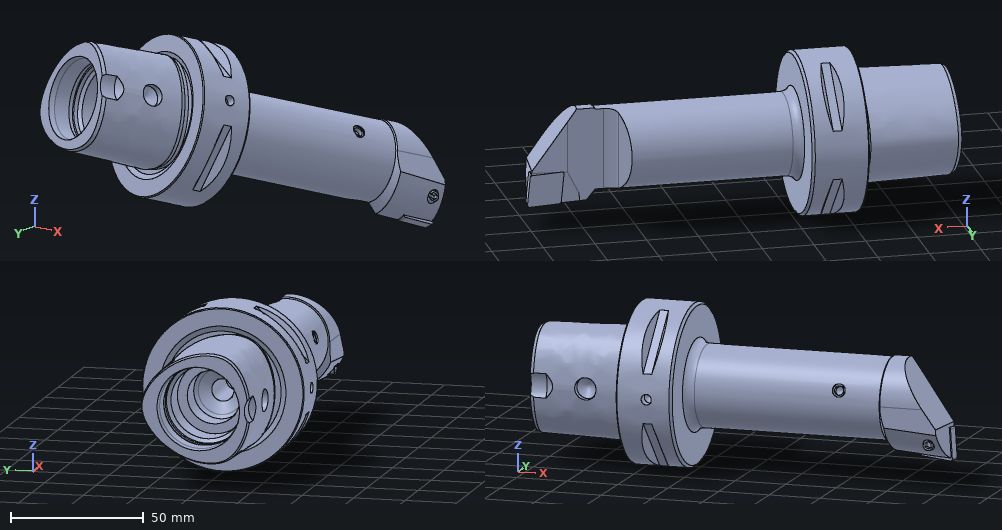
import cadquery as cq
import math


SHANK_LENGTH = 38.0
POLYGON_DIAMETER = 44.0
POLYGON_ECCENTRICITY = 1.3
POLYGON_TAPER = 1 / 20
POLYGON_POINTS = 48
GAUGE_X = -2.4
LEAD_IN_LENGTH = 1.5
LEAD_IN_DIAMETER_DROP = 1.2

NECK_START_X = -0.6
NECK_DIAMETER_DROP = 1.3
RECESS_OUTER_RADIUS = 24.5
RECESS_INNER_RADIUS = 22.4
RECESS_DEPTH = 1.0

MOUTH_RADIUS = 16.0
BORE_RADIUS = 14.1
MOUTH_CONE_LENGTH = 2.4
ENTRY_RADIUS = 15.6
BORE_GROOVE_RADIUS = 16.4
BORE_GROOVE_START = 9.0
BORE_GROOVE_WIDTH = 2.2
ENTRY_DEPTH = 13.0
ENTRY_CONE_LENGTH = 1.0
BORE_DEPTH = 24.0
INNER_BORE_RADIUS = 10.3
INNER_BORE_DEPTH = 34.0
CONE_RADIUS = 8.9
CONE_ANGLE = 120.0
COOLANT_RADIUS = 4.3
COOLANT_DEPTH = 60.0

KEYWAY_RADIUS = 7.5
KEYWAY_LENGTH = 6.4
KEYWAY_FLOOR_Y = -17.9
KEYWAY_RUNOUT_SLOPE = 0.75
DRIVE_HOLE_DIAMETER = 8.5
DRIVE_HOLE_X = -15.7
DRIVE_HOLE_FLOOR_Y = -17.6

FLANGE_RADIUS = 31.5
FLANGE_WIDTH = 22.0
FLANGE_FRONT_CHAMFER = 0.4
FLANGE_BACK_CHAMFER = 1.0
GRIP_X = 12.0
GRIP_FLOOR_RADIUS = 28.0
GRIP_FLOOR_WIDTH = 3.4
GRIP_WALL_ANGLE = 30.0
GRIP_COUNT = 4
MARK_HOLE_DIAMETER = 4.0
MARK_HOLE_DEPTH = 4.0
DRILL_POINT_ANGLE = 118.0

BAR_RADIUS = 16.0
BAR_FILLET = 5.0
BAR_FILLET_LENGTH = 4.0
BAR_END_X = 99.2
RELIEF_START_X = 88.2
RELIEF_ANGLE = 16.0
RELIEF_RADIUS = 5.0
TOP_FLAT_Y = 2.1
RAKE_START_X = 110.0

HEAD_RADIUS = 16.5
HEAD_BACK_SLOPE = 1.2
HEAD_FULL_RADIUS = 24.0
HEAD_END_X = 135.0
HEAD_ROUND = 19.7
HEAD_ROUND_START_ANGLE = 24.0
HEAD_FLAT_END_Z = -7.9
HEAD_OVERLAP = 3.0
HEAD_DROP_ANGLE = 4.4
SLOPE_X = 106.4
SLOPE_ANGLE = 35.6
SLOPE_RELIEF_ANGLE = 4.8
FLANK_RELIEF_ANGLE = 6.0
FLANK_SETBACK = 0.4

TIP = cq.Vector(125.04, 0, -22.05)
LEAD_ANGLE = 5.0
INSERT_EDGE = 12.9
INSERT_CORNER_ANGLE = 80.0
INSERT_CORNER_RADIUS = 0.8
INSERT_THICKNESS = 4.76
RAKE_TILT_X = -2.8
RAKE_TILT_Z = -5.4
RAKE_TRIM_SIZE = 40.0

CLAMP_X = 118.0
CLAMP_Z = -14.0
CLAMP_DIAMETER = 4.2
CLAMP_OUTER_Y = -14.2
CLAMP_LENGTH = 5.0
CLAMP_SOCKET = 2.5
CLAMP_SOCKET_DEPTH = 2.0
PLUG_X = 82.9
PLUG_Z = 5.0
PLUG_DIAMETER = 5.0
PLUG_LENGTH = 6.0
PLUG_RECESS = 0.6
PLUG_BORE_DIAMETER = 3.6
PLUG_BORE_DEPTH = 2.0

BIG = 100.0


def drill(radius, depth):
    """Drill shape along -Z from z = BIG down to a pointed floor at z = -depth."""
    point = radius / math.tan(math.radians(DRILL_POINT_ANGLE / 2))
    outline = [(0, BIG), (radius, BIG), (radius, -depth), (0, -depth - point)]
    return cq.Workplane("XZ").polyline(outline).close().revolve(360, (0, 0), (0, 1))


def revolve_about_x(outline):
    """Turned shape from closed (x, radius) points."""
    return cq.Workplane("XY").polyline(outline).close().revolve(360, (0, 0), (1, 0))


def aim_drill_at_minus_y(tool):
    """Turn a -Z drill so that it cuts toward +Y."""
    return tool.rotate((0, 0, 0), (1, 0, 0), 90)


def polygon_section(x, diameter):
    """Three-lobed section of constant width, with one lobe toward +Y."""
    points = []
    for index in range(POLYGON_POINTS):
        angle = 2 * math.pi * index / POLYGON_POINTS
        reach = diameter / 2 + POLYGON_ECCENTRICITY * math.cos(3 * angle)
        slide = -3 * POLYGON_ECCENTRICITY * math.sin(3 * angle)
        y = reach * math.cos(angle) - slide * math.sin(angle)
        z = reach * math.sin(angle) + slide * math.cos(angle)
        points.append(cq.Vector(x, y, z))
    return cq.Wire.assembleEdges([cq.Edge.makeSpline(points, periodic=True)])


def make_shank():
    """Tapered polygon with a lead-in at its end and a slightly smaller neck."""
    lead_x = -SHANK_LENGTH + LEAD_IN_LENGTH
    lead_diameter = POLYGON_DIAMETER + (lead_x - GAUGE_X) * POLYGON_TAPER
    neck_diameter = POLYGON_DIAMETER - NECK_DIAMETER_DROP
    sections = [
        polygon_section(-SHANK_LENGTH, lead_diameter - LEAD_IN_DIAMETER_DROP),
        polygon_section(lead_x, lead_diameter),
        polygon_section(GAUGE_X, POLYGON_DIAMETER),
        polygon_section(NECK_START_X, neck_diameter),
        polygon_section(RECESS_DEPTH, neck_diameter),
    ]
    shank = cq.Workplane(cq.Solid.makeLoft(sections[:2], True))
    for start, end in zip(sections[1:], sections[2:]):
        shank = shank.union(cq.Workplane(cq.Solid.makeLoft([start, end], True)))
    return shank


def make_flange_and_bar():
    """Turned flange, recessed around the shank, and the plain bar behind it."""
    fillet_end_x = FLANGE_WIDTH + BAR_FILLET_LENGTH
    fillet_center_r = BAR_RADIUS + BAR_FILLET
    fillet_top_r = fillet_center_r - math.sqrt(BAR_FILLET**2 - BAR_FILLET_LENGTH**2)
    half_turn = math.asin(BAR_FILLET_LENGTH / BAR_FILLET) / 2
    fillet_mid = (
        fillet_end_x - BAR_FILLET * math.sin(half_turn),
        fillet_center_r - BAR_FILLET * math.cos(half_turn),
    )
    return (
        cq.Workplane("XY")
        .moveTo(RECESS_DEPTH, 0)
        .lineTo(RECESS_DEPTH, RECESS_INNER_RADIUS)
        .lineTo(0, RECESS_OUTER_RADIUS)
        .lineTo(0, FLANGE_RADIUS - FLANGE_FRONT_CHAMFER)
        .lineTo(FLANGE_FRONT_CHAMFER, FLANGE_RADIUS)
        .lineTo(FLANGE_WIDTH - FLANGE_BACK_CHAMFER, FLANGE_RADIUS)
        .lineTo(FLANGE_WIDTH, FLANGE_RADIUS - FLANGE_BACK_CHAMFER)
        .lineTo(FLANGE_WIDTH, fillet_top_r)
        .threePointArc(fillet_mid, (fillet_end_x, BAR_RADIUS))
        .lineTo(BAR_END_X, BAR_RADIUS)
        .lineTo(BAR_END_X, 0)
        .close()
        .revolve(360, (0, 0), (1, 0))
    )


def make_shank_bore():
    """Stepped bore with a clamping groove, ending in a pointed coolant hole."""
    def depth(value):
        return value - SHANK_LENGTH

    groove_end = BORE_GROOVE_START + BORE_GROOVE_WIDTH
    inner_end = INNER_BORE_DEPTH + INNER_BORE_RADIUS - CONE_RADIUS
    cone_slope = math.tan(math.radians(CONE_ANGLE / 2))
    cone_end = inner_end + (CONE_RADIUS - COOLANT_RADIUS) / cone_slope
    apex = COOLANT_DEPTH + COOLANT_RADIUS / cone_slope
    return revolve_about_x([
        (depth(0), 0),
        (depth(0), MOUTH_RADIUS),
        (depth(MOUTH_CONE_LENGTH), ENTRY_RADIUS),
        (depth(BORE_GROOVE_START), ENTRY_RADIUS),
        (depth(BORE_GROOVE_START), BORE_GROOVE_RADIUS),
        (depth(groove_end), BORE_GROOVE_RADIUS),
        (depth(groove_end), ENTRY_RADIUS),
        (depth(ENTRY_DEPTH), ENTRY_RADIUS),
        (depth(ENTRY_DEPTH + ENTRY_CONE_LENGTH), BORE_RADIUS),
        (depth(BORE_DEPTH), BORE_RADIUS),
        (depth(BORE_DEPTH), INNER_BORE_RADIUS),
        (depth(INNER_BORE_DEPTH), INNER_BORE_RADIUS),
        (depth(inner_end), CONE_RADIUS),
        (depth(cone_end), COOLANT_RADIUS),
        (depth(COOLANT_DEPTH), COOLANT_RADIUS),
        (depth(apex), 0),
    ])


def make_keyway():
    """Round keyway on the -Y side of the shank end, running out in a cone."""
    straight_end = -SHANK_LENGTH + KEYWAY_LENGTH
    apex = straight_end + KEYWAY_RADIUS / KEYWAY_RUNOUT_SLOPE
    outline = [
        (-SHANK_LENGTH, 0),
        (-SHANK_LENGTH, KEYWAY_RADIUS),
        (straight_end, KEYWAY_RADIUS),
        (apex, 0),
    ]
    return revolve_about_x(outline).translate((0, KEYWAY_FLOOR_Y - KEYWAY_RADIUS, 0))


def make_grip_slots():
    """Straight slots with sloping walls across the flange rim."""
    height = FLANGE_RADIUS - GRIP_FLOOR_RADIUS
    floor_half = GRIP_FLOOR_WIDTH / 2
    top_half = floor_half + height * math.tan(math.radians(GRIP_WALL_ANGLE))
    slot = (
        cq.Workplane("XZ")
        .polyline([
            (GRIP_X - floor_half, GRIP_FLOOR_RADIUS),
            (GRIP_X + floor_half, GRIP_FLOOR_RADIUS),
            (GRIP_X + top_half, FLANGE_RADIUS),
            (GRIP_X - top_half, FLANGE_RADIUS),
        ])
        .close()
        .extrude(FLANGE_RADIUS, both=True)
    )
    slots = []
    for index in range(GRIP_COUNT):
        angle = 360 / GRIP_COUNT * (index + 0.5)
        slots.append(slot.rotate((0, 0, 0), (1, 0, 0), angle))
    return slots


def make_drilled_holes():
    """Blind holes on the -Y side of the shank and the flange."""
    drive = aim_drill_at_minus_y(drill(DRIVE_HOLE_DIAMETER / 2, 0))
    mark = aim_drill_at_minus_y(drill(MARK_HOLE_DIAMETER / 2, 0))
    return [
        drive.translate((DRIVE_HOLE_X, DRIVE_HOLE_FLOOR_Y, 0)),
        mark.translate((GRIP_X, -FLANGE_RADIUS + MARK_HOLE_DEPTH, 0)),
    ]


def make_head():
    """Cutting head: round above, flat on the -Y side, rounded and dropping below."""
    length = HEAD_END_X - BAR_END_X
    upper = cq.Workplane("YZ", origin=(BAR_END_X, 0, 0)).circle(HEAD_RADIUS).extrude(length)
    side = cq.Workplane("XY").box(length, HEAD_RADIUS, -HEAD_FLAT_END_Z, centered=False)
    side = side.translate((BAR_END_X, -HEAD_RADIUS, HEAD_FLAT_END_Z))

    start = math.radians(HEAD_ROUND_START_ANGLE)
    middle = (start + math.pi / 2) / 2
    center_y = -HEAD_RADIUS + HEAD_ROUND * math.cos(start)
    center_z = HEAD_ROUND * math.sin(start)
    round_mid = (
        center_y - HEAD_ROUND * math.cos(middle),
        center_z - HEAD_ROUND * math.sin(middle),
    )
    round_end = (center_y, center_z - HEAD_ROUND)
    lower = (
        cq.Workplane("YZ")
        .moveTo(-HEAD_RADIUS, HEAD_OVERLAP)
        .lineTo(-HEAD_RADIUS, 0)
        .threePointArc(round_mid, round_end)
        .lineTo(HEAD_RADIUS, round_end[1])
        .lineTo(HEAD_RADIUS, HEAD_OVERLAP)
        .close()
        .extrude(length, both=True)
        .rotate((0, 0, 0), (0, 1, 0), HEAD_DROP_ANGLE)
        .translate((BAR_END_X, 0, HEAD_FLAT_END_Z))
    )
    full_x = BAR_END_X + (HEAD_FULL_RADIUS - BAR_RADIUS) / HEAD_BACK_SLOPE
    envelope = revolve_about_x([
        (BAR_END_X, 0),
        (BAR_END_X, BAR_RADIUS),
        (full_x, HEAD_FULL_RADIUS),
        (HEAD_END_X, HEAD_FULL_RADIUS),
        (HEAD_END_X, 0),
    ])
    head = upper.union(side).union(lower).intersect(envelope)
    return head.cut(make_end_slope()).cut(make_end_flank())


def half_space_beyond_x():
    """Block that removes everything on the +X side of the origin plane."""
    return cq.Workplane("XY").box(BIG, 2 * BIG, 2 * BIG).translate((BIG / 2, 0, 0))


def make_end_slope():
    """Trim for the long sloping end face, relieved toward -Y."""
    return (
        half_space_beyond_x()
        .rotate((0, 0, 0), (0, 0, 1), -SLOPE_RELIEF_ANGLE)
        .rotate((0, 0, 0), (0, 1, 0), -SLOPE_ANGLE)
        .translate((SLOPE_X, TOP_FLAT_Y, HEAD_RADIUS))
    )


def make_end_flank():
    """Trim for the short end face under the cutting edge."""
    return (
        half_space_beyond_x()
        .rotate((0, 0, 0), (0, 0, 1), -FLANK_RELIEF_ANGLE)
        .rotate((0, 0, 0), (0, 1, 0), -LEAD_ANGLE)
        .translate((TIP.x - FLANK_SETBACK, TIP.y, TIP.z))
    )


def make_chip_relief():
    """Removes the +Y half of the bar end down to the top flat and its falling tip end."""
    drop = BAR_RADIUS - TOP_FLAT_Y
    slope = math.tan(math.radians(RELIEF_ANGLE))
    corner_x = RELIEF_START_X + drop * slope
    rake_end_y = TOP_FLAT_Y + (HEAD_END_X - RAKE_START_X) * math.tan(math.radians(RAKE_TILT_Z))
    outside = HEAD_FULL_RADIUS - BAR_RADIUS
    return (
        cq.Workplane("XY")
        .polyline([
            (RELIEF_START_X - outside * slope, HEAD_FULL_RADIUS),
            (corner_x, TOP_FLAT_Y),
            (RAKE_START_X, TOP_FLAT_Y),
            (HEAD_END_X, rake_end_y),
            (HEAD_END_X, HEAD_FULL_RADIUS),
        ])
        .close()
        .extrude(BIG, both=True)
        .edges("|Z")
        .edges(cq.selectors.NearestToPointSelector((corner_x, TOP_FLAT_Y, 0)))
        .fillet(RELIEF_RADIUS)
    )


def tilt_to_seat(shape):
    """Lean a shape so that its Y axis stands square to the insert seat."""
    turned = shape.rotate((0, 0, 0), (1, 0, 0), RAKE_TILT_X)
    return turned.rotate((0, 0, 0), (0, 0, 1), RAKE_TILT_Z)


def place_on_seat(shape):
    """Move a shape from the seat frame, with the tip at its origin, to the tool."""
    return tilt_to_seat(shape.rotate((0, 0, 0), (0, 1, 0), LEAD_ANGLE)).translate(TIP)


def make_insert():
    """Rhombic plate with rounded corners, one of them at the cutting tip."""
    angle = math.radians(INSERT_CORNER_ANGLE)
    rise_x = -INSERT_EDGE * math.cos(angle)
    rise_z = INSERT_EDGE * math.sin(angle)
    plate = (
        cq.Workplane("XZ")
        .polyline([(0, 0), (-INSERT_EDGE, 0), (rise_x - INSERT_EDGE, rise_z), (rise_x, rise_z)])
        .close()
        .extrude(INSERT_THICKNESS)
        .edges("|Y")
        .fillet(INSERT_CORNER_RADIUS)
    )
    return place_on_seat(plate)


def make_rake_trim():
    """Block above the rake face of the insert."""
    block = cq.Workplane("XY").box(RAKE_TRIM_SIZE, RAKE_TRIM_SIZE, RAKE_TRIM_SIZE)
    block = block.translate((0, RAKE_TRIM_SIZE / 2, 0))
    return place_on_seat(block)


def place_clamp(shape):
    """Turn a shape along Y square to the seat and put its origin at the screw end."""
    return tilt_to_seat(shape).translate((CLAMP_X, CLAMP_OUTER_Y, CLAMP_Z))


def clamp_cylinder(outer_y):
    """Screw shape along Y from its inner end out to outer_y."""
    base = cq.Workplane("XZ", origin=(0, CLAMP_LENGTH, 0))
    return base.circle(CLAMP_DIAMETER / 2).extrude(CLAMP_LENGTH - outer_y)


def make_clamp_screw():
    """Screw under the insert seat, with a hexagon socket toward -Y."""
    socket = (
        cq.Workplane("XZ", origin=(0, CLAMP_SOCKET_DEPTH, 0))
        .polygon(6, CLAMP_SOCKET, circumscribed=True)
        .extrude(CLAMP_SOCKET_DEPTH)
    )
    return place_clamp(clamp_cylinder(0).cut(socket))


def place_plug(shape):
    """Turn a shape along Z onto the plug axis, with z = 0 at the bar surface."""
    lift = math.degrees(math.asin(PLUG_Z / BAR_RADIUS))
    raised = shape.translate((PLUG_X, 0, BAR_RADIUS))
    return raised.rotate((0, 0, 0), (1, 0, 0), 90 - lift)


def plug_cylinder(top):
    """Plug shape along Z up to the given height over the bar surface."""
    base = cq.Workplane("XY", origin=(0, 0, -PLUG_LENGTH))
    return base.circle(PLUG_DIAMETER / 2).extrude(PLUG_LENGTH + top)


def make_plug():
    """Coolant plug with a pointed blind bore in its outer end."""
    bore = drill(PLUG_BORE_DIAMETER / 2, PLUG_RECESS + PLUG_BORE_DEPTH)
    return place_plug(plug_cylinder(-PLUG_RECESS).cut(bore))


def make_body():
    """Holder with its seat for the insert and its holes for the screw and the plug."""
    body = make_shank().union(make_flange_and_bar())
    body = body.cut(make_shank_bore()).cut(make_keyway())
    for tool in make_grip_slots() + make_drilled_holes():
        body = body.cut(tool)
    body = body.union(make_head()).cut(make_chip_relief()).cut(make_rake_trim())
    body = body.cut(make_insert())
    body = body.cut(place_clamp(clamp_cylinder(-BIG)))
    return body.cut(place_plug(plug_cylinder(BIG)))


body = make_body()
insert = make_insert()
clamp_screw = make_clamp_screw()
plug = make_plug()

result = cq.Compound.makeCompound([
    body.solids().val(),
    insert.solids().val(),
    clamp_screw.solids().val(),
    plug.solids().val(),
])